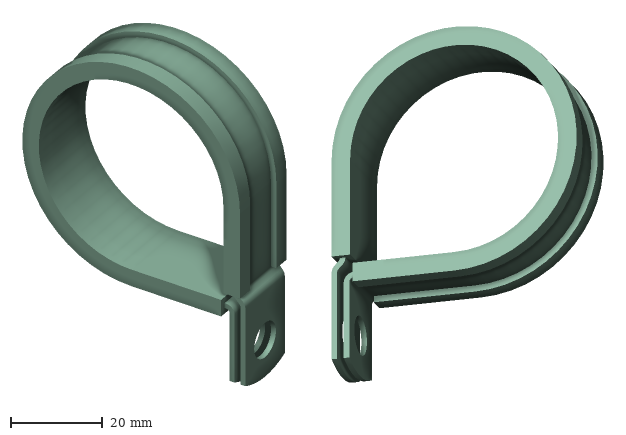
import cadquery as cq
import math

diagonal = math.sqrt(0.5)


cushion_outer_radius = 28.05
cushion_thickness = 4.3
cushion_width = 18.9
cushion_inner_radius = cushion_outer_radius - cushion_thickness
upright_leg_length = 21.85
bottom_leg_length = 23.2
groove_width = 10.6

band_width = 16.0
band_thickness = 1.3
groove_depth = 1.4
band_outer_radius = cushion_outer_radius - groove_depth
band_mid_radius = band_outer_radius - band_thickness / 2

overall_height = 74.8
right_side_x = 28.5
tab_gap = 1.5
tab_bottom_z = cushion_outer_radius - overall_height
tab_tip_rise = 1.8
hole_diameter = 8.8
hole_height = 9.4
right_tab_x = right_side_x - band_thickness / 2
left_tab_x = right_tab_x - tab_gap - band_thickness
elbow_radius = 1.65
jog_radius = 1.65


def loop_solid(outer_radius, inner_radius, width):
    """Three-quarter ring with a tangent leg at each end."""
    return (
        cq.Workplane("XZ")
        .moveTo(outer_radius, -upright_leg_length)
        .lineTo(outer_radius, 0)
        .threePointArc((-outer_radius * diagonal, outer_radius * diagonal), (0, -outer_radius))
        .lineTo(bottom_leg_length, -outer_radius)
        .lineTo(bottom_leg_length, -inner_radius)
        .lineTo(0, -inner_radius)
        .threePointArc((-inner_radius * diagonal, inner_radius * diagonal), (inner_radius, 0))
        .lineTo(inner_radius, -upright_leg_length)
        .close()
        .extrude(width / 2, both=True)
    )


def band_path():
    """Centre line of the band, from the right tab round the loop to the left tab."""
    bend_x = jog_radius * (1 - diagonal)
    bend_z = jog_radius * diagonal
    jog_height = right_tab_x - band_mid_radius + 2 * (bend_z - bend_x)
    jog_bottom_z = -upright_leg_length - jog_height
    return (
        cq.Workplane("XZ")
        .moveTo(right_tab_x, tab_bottom_z)
        .lineTo(right_tab_x, jog_bottom_z)
        .tangentArcPoint((right_tab_x - bend_x, jog_bottom_z + bend_z), relative=False)
        .lineTo(band_mid_radius + bend_x, -upright_leg_length - bend_z)
        .tangentArcPoint((band_mid_radius, -upright_leg_length), relative=False)
        .lineTo(band_mid_radius, 0)
        .threePointArc(
            (-band_mid_radius * diagonal, band_mid_radius * diagonal),
            (0, -band_mid_radius),
        )
        .lineTo(left_tab_x - elbow_radius, -band_mid_radius)
        .tangentArcPoint((left_tab_x, -band_mid_radius - elbow_radius), relative=False)
        .lineTo(left_tab_x, tab_bottom_z)
    )


def band_envelope():
    """Side silhouette that gives the tabs their curved tips."""
    half_width = band_width / 2
    corner_z = tab_bottom_z + tab_tip_rise
    return (
        cq.Workplane("YZ")
        .moveTo(-half_width, cushion_outer_radius)
        .lineTo(-half_width, corner_z)
        .threePointArc((0, tab_bottom_z), (half_width, corner_z))
        .lineTo(half_width, cushion_outer_radius)
        .close()
        .extrude(overall_height, both=True)
    )


cushion = loop_solid(cushion_outer_radius, cushion_inner_radius, cushion_width)
cushion = cushion.cut(loop_solid(cushion_outer_radius, band_outer_radius, groove_width))

band_section = cq.Workplane("XY", origin=(right_tab_x, 0, tab_bottom_z)).rect(band_thickness, band_width)
band = band_section.sweep(band_path()).intersect(band_envelope())
bolt_hole = (
    cq.Workplane("YZ")
    .center(0, tab_bottom_z + hole_height)
    .circle(hole_diameter / 2)
    .extrude(overall_height)
)

result = cushion.union(band.cut(bolt_hole))